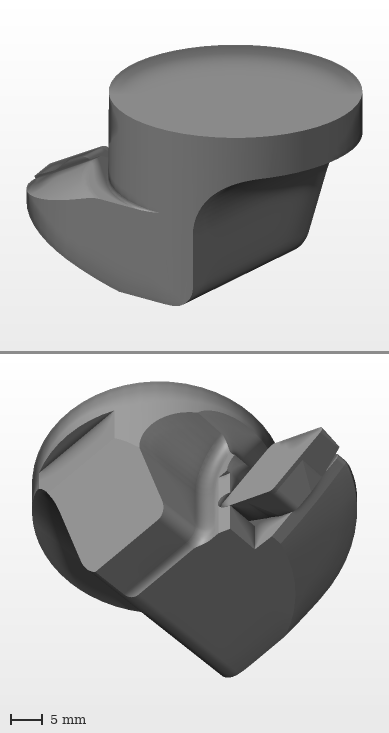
import cadquery as cq
import math


shank_radius = 20.0
top_z = 21.5
bottom_z = -8.0
far = 60.0

neck_back_x = 5.85
back_arc_radius = 10.0
back_arc_start_z = 4.45
flange_edge_z = 14.75
foot_radius = 3.5

side_flat_y = 18.1
side_flat_top_z = 15.44
side_slope_top_z = 8.0
side_slope_foot_y = 9.6

pocket_floor_x = -12.0
pocket_wall_y = 1.5
pocket_arc_radius = 11.6
pocket_arc_start_z = 4.3
pocket_foot_z = -7.47
pocket_foot_radius = 2.07
pocket_wall_fillet = 2.1
groove_radius = 5.0
groove_x = -22.35
groove_z = 12.8

horn_apex_radius = 36.45
horn_cone_angle = 28.2
horn_rim_radius = 0.8
horn_top_z = 6.8
horn_top_blend = 2.5
horn_root_fillet = 0.4
horn_arc_radius = 20.5
horn_arc_end_x = -15.9
horn_wedge_apex_x = -36.0

tip_x = -36.87
nose_radius = 0.8
half_nose_angle = 27.5
insert_half_height = 6.22
blunt_corner_radius = 1.5
insert_thickness = 5.5
insert_clearance = 7.0
insert_tilt = 2.0
land_margin = 0.75
land_end_half_height = 7.8
land_end_slope = 0.8
nose_relief_start = 4.9
nose_relief_slope = 13.0

seat_wall_x = -16.9
seat_roof_z = 9.6
seat_roof_radius = 5.25 / 2
tip_relief_radius = 3.5 / 2
seat_bevel_start_y = 0.1
seat_bevel_height = 0.8
seat_bevel_length = 2.5

half_nose = math.radians(half_nose_angle)
nose_setback = nose_radius * (1 / math.sin(half_nose) - 1)
insert_half_length = insert_half_height / math.tan(half_nose)
insert_centre_x = tip_x - nose_setback + insert_half_length
insert_rear_x = insert_centre_x + insert_half_length - nose_setback


def tilted(body):
    """Turn a body about the vertical line through the cutting tip."""
    return body.rotate((tip_x, 0, 0), (tip_x, 0, 1), insert_tilt)


def rhombus(half_length, half_height):
    """Sharp rhombus with its long diagonal along X."""
    return cq.Sketch().polygon([
        (-half_length, 0),
        (0, -half_height),
        (half_length, 0),
        (0, half_height),
        (-half_length, 0),
    ])


def insert_outline(inset=0.0):
    """Rake face outline, with its sides moved inward by the inset."""
    half_height = insert_half_height - inset / math.cos(half_nose)
    outline = rhombus(half_height / math.tan(half_nose), half_height)
    outline = outline.vertices("<X or >X").fillet(nose_radius)
    return outline.reset().vertices("<Y or >Y").fillet(blunt_corner_radius).reset()


def make_insert():
    rake = cq.Workplane("XZ", origin=(insert_centre_x, 0, 0))
    insert = rake.placeSketch(insert_outline()).extrude(insert_thickness, taper=insert_clearance)

    land_depth = insert_thickness - land_margin
    land_inset = land_margin * math.tan(math.radians(insert_clearance))
    land_top = rake.workplane(offset=land_margin)
    land_ends = rhombus(land_end_half_height / land_end_slope, land_end_half_height)
    lands = land_top.placeSketch(insert_outline(land_inset)).extrude(land_depth)
    insert = insert.union(
        lands.intersect(land_top.placeSketch(land_ends).extrude(land_depth, taper=insert_clearance)))

    rise = nose_relief_start * math.tan(math.radians(nose_relief_slope))
    relief = (
        cq.Workplane("XY")
        .polyline([
            (tip_x, -insert_thickness),
            (tip_x + nose_relief_start, -insert_thickness),
            (tip_x, -insert_thickness + rise),
        ]).close().extrude(far, both=True)
    )
    insert = insert.cut(relief).cut(relief.mirror("YZ", (insert_centre_x, 0, 0)))
    return tilted(insert)


def make_horn():
    run_per_rise = 1 / math.tan(math.radians(horn_cone_angle))
    root_radius = shank_radius + horn_root_fillet
    root_bulge = horn_root_fillet * (1 - math.sqrt(0.5))
    top_radius = horn_apex_radius - horn_top_z * run_per_rise
    bottom_radius = horn_apex_radius + bottom_z * run_per_rise
    outline = cq.Sketch().polygon([
        (0, bottom_z),
        (bottom_radius, bottom_z),
        (horn_apex_radius, 0),
        (top_radius, horn_top_z),
        (0, horn_top_z),
        (0, bottom_z),
    ])
    outline = outline.vertices(">X").fillet(horn_rim_radius).reset()
    top_corner = cq.selectors.NearestToPointSelector((top_radius, horn_top_z, 0))
    outline = outline.vertices(top_corner).fillet(horn_top_blend).reset()
    turned = cq.Workplane("XZ").placeSketch(outline).revolve()

    root = (
        cq.Workplane("XZ").moveTo(0, horn_top_z)
        .lineTo(root_radius, horn_top_z)
        .threePointArc((shank_radius + root_bulge, horn_top_z + root_bulge),
                       (shank_radius, horn_top_z + horn_root_fillet))
        .lineTo(0, horn_top_z + horn_root_fillet).close()
        .revolve()
    )

    arc_centre_y = horn_arc_radius - shank_radius
    arc_left_x = horn_arc_end_x - horn_arc_radius
    arc_mid = horn_arc_radius * math.sqrt(0.5)
    plan = (
        cq.Workplane("XY", origin=(0, 0, bottom_z))
        .moveTo(0, -shank_radius).lineTo(horn_arc_end_x, -shank_radius)
        .threePointArc((horn_arc_end_x - arc_mid, arc_centre_y - arc_mid), (arc_left_x, arc_centre_y))
        .lineTo(0, arc_centre_y).close().extrude(top_z - bottom_z)
    )

    wedge_length = shank_radius - horn_wedge_apex_x
    wedge_half_height = wedge_length * math.tan(half_nose)
    wedge = (
        cq.Workplane("XZ")
        .polyline([
            (horn_wedge_apex_x, 0),
            (shank_radius, -wedge_half_height),
            (shank_radius, wedge_half_height),
        ]).close().extrude(far, both=True)
        .edges("<X").fillet(nose_radius)
    )
    return turned.union(root).intersect(plan).intersect(tilted(wedge))


def make_back_relief():
    arc_mid = back_arc_radius * math.sqrt(0.5)
    centre_x = neck_back_x + back_arc_radius
    return (
        cq.Workplane("XZ")
        .moveTo(neck_back_x, bottom_z).lineTo(neck_back_x, back_arc_start_z)
        .threePointArc((centre_x - arc_mid, back_arc_start_z + arc_mid),
                       (centre_x, back_arc_start_z + back_arc_radius))
        .lineTo(shank_radius, flange_edge_z).lineTo(far, flange_edge_z)
        .lineTo(far, bottom_z).close().extrude(far, both=True)
    )


def make_side_relief():
    return (
        cq.Workplane("YZ")
        .polyline([
            (side_flat_y, side_flat_top_z),
            (side_flat_y, side_slope_top_z),
            (side_slope_foot_y, bottom_z),
            (far, bottom_z),
            (far, side_flat_top_z),
        ]).close().extrude(far, both=True)
    )


def make_chip_pocket():
    arc_mid = pocket_arc_radius * math.sqrt(0.5)
    arc_x = pocket_floor_x - pocket_arc_radius
    foot_x = pocket_floor_x + pocket_foot_radius
    foot_arc_z = pocket_foot_z + pocket_foot_radius
    foot_mid = pocket_foot_radius * math.sqrt(0.5)
    return (
        cq.Workplane("XZ", origin=(0, pocket_wall_y, 0))
        .moveTo(pocket_floor_x, pocket_arc_start_z)
        .threePointArc((arc_x + arc_mid, pocket_arc_start_z + arc_mid),
                       (arc_x, pocket_arc_start_z + pocket_arc_radius))
        .lineTo(-far, pocket_arc_start_z + pocket_arc_radius)
        .lineTo(-far, -far).lineTo(far, -far).lineTo(far, pocket_foot_z)
        .lineTo(foot_x, pocket_foot_z)
        .threePointArc((foot_x - foot_mid, foot_arc_z - foot_mid), (pocket_floor_x, foot_arc_z))
        .close().extrude(-far)
        .faces("<Y").edges().fillet(pocket_wall_fillet)
    )


def make_seat():
    """Space cleared in front of the seat wall and above the seat face."""
    seat = (
        cq.Workplane("XY", origin=(seat_wall_x, -insert_thickness, seat_roof_z))
        .box(far, far, far, centered=False)
        .translate((-far, 0, -far))
        .edges(">X and >Z").fillet(seat_roof_radius)
    )
    bevel = (
        cq.Workplane("XY", origin=(seat_wall_x, seat_bevel_start_y, -far))
        .polyline([
            (0, 0),
            (seat_bevel_length, seat_bevel_height),
            (0, seat_bevel_height),
        ]).close().extrude(far + seat_roof_z - seat_roof_radius)
    )
    pocket_overlap_y = pocket_wall_y + pocket_wall_fillet
    keep_side = (
        cq.Workplane("XY", origin=(0, pocket_overlap_y - far / 2, 0))
        .box(2 * far, far, 2 * far)
    )
    tip_relief = (
        cq.Workplane("XZ", origin=(insert_rear_x - tip_relief_radius, -insert_thickness, 0))
        .circle(tip_relief_radius).extrude(-insert_thickness - pocket_overlap_y)
    )
    return tilted(seat.union(bevel).union(tip_relief)).intersect(keep_side)


insert = make_insert()

neck = cq.Workplane("XY", origin=(0, 0, bottom_z)).circle(shank_radius).extrude(top_z - bottom_z)
neck = neck.cut(make_back_relief())
neck = neck.edges(cq.selectors.NearestToPointSelector((neck_back_x, 0, bottom_z))).fillet(foot_radius)
groove = (
    cq.Workplane("XZ").center(groove_x, groove_z)
    .circle(groove_radius).extrude(far, both=True)
)
holder = (
    neck.cut(make_side_relief()).cut(tilted(groove)).union(make_horn())
    .cut(make_chip_pocket()).cut(make_seat()).cut(insert)
)

result = cq.Compound.makeCompound([holder.solids().val(), insert.solids().val()])